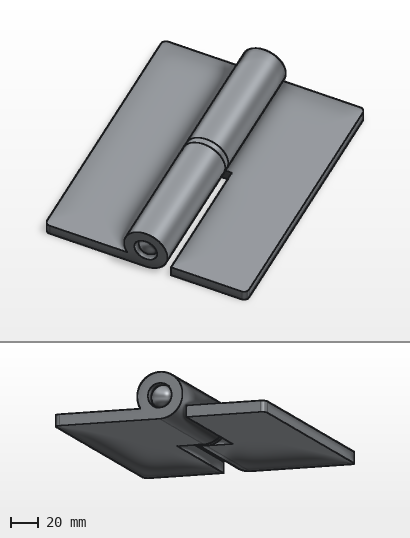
import cadquery as cq

hinge_length = 200.0
hinge_width = 160.0
plate_thickness = 8.5
corner_radius = 4.0
barrel_radius = 17.2
pin_radius = 9.0
collar_length = 5.2
notch_half_width = 20.0

half_length = hinge_length / 2
half_width = hinge_width / 2
collar_half = collar_length / 2
barrel_length = half_length - collar_half
plate_bottom = -barrel_radius


def y_cylinder(radius, y_start, length):
    """Solid cylinder on the pin axis, running toward +Y from y_start."""
    return cq.Workplane("XZ", origin=(0, y_start, 0)).circle(radius).extrude(-length)


def make_leaf():
    """Left leaf: an L-shaped plate tangent to the barrel on its -Y half."""
    plate = (
        cq.Workplane("XY", origin=(0, 0, plate_bottom))
        .moveTo(-half_width, -half_length)
        .lineTo(0, -half_length)
        .lineTo(0, -collar_half)
        .lineTo(-notch_half_width, -collar_half)
        .lineTo(-notch_half_width, half_length)
        .lineTo(-half_width, half_length)
        .close()
        .extrude(plate_thickness)
        .edges("|Z and <X")
        .fillet(corner_radius)
    )
    barrel = y_cylinder(barrel_radius, -half_length, barrel_length)
    bore = y_cylinder(pin_radius, -half_length, barrel_length)
    return plate.union(barrel).cut(bore)


def make_pin():
    """Pin with a central collar and hemispherical ends level with the barrel ends."""
    shank_length = hinge_length - 2 * pin_radius
    shank = y_cylinder(pin_radius, -shank_length / 2, shank_length)
    collar = y_cylinder(barrel_radius, -collar_half, collar_length)
    pin = shank.union(collar)
    for side in (-1, 1):
        dome = cq.Workplane("XY").sphere(pin_radius).translate((0, side * shank_length / 2, 0))
        pin = pin.union(dome)
    return pin


left_leaf = make_leaf()
right_leaf = make_leaf().rotate((0, 0, 0), (0, 0, 1), 180)
pin = make_pin()

result = cq.Compound.makeCompound([left_leaf.val(), right_leaf.val(), pin.val()])